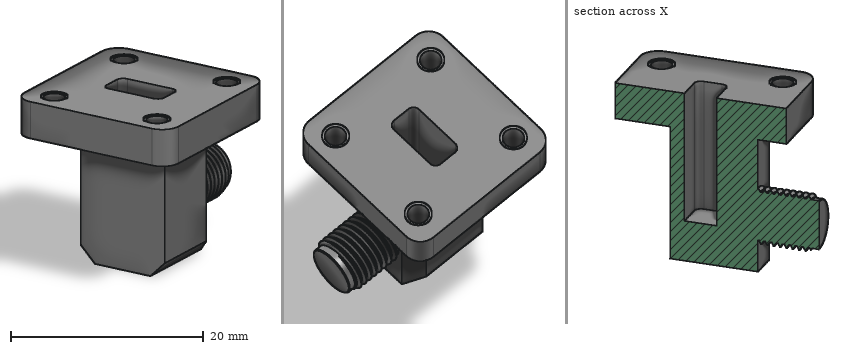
import cadquery as cq
import math


FLANGE_SIDE = 19.05
FLANGE_THICKNESS = 4.08
FLANGE_CORNER_RADIUS = 2.0

HOLE_SPACING_X = 12.7
HOLE_SPACING_Y = 13.46
HOLE_DIAMETER = 2.26
COUNTERBORE_DIAMETER = 2.85
COUNTERBORE_DEPTH = 0.13

TOTAL_HEIGHT = 19.05
BODY_WIDTH = 10.41
BODY_BACK_Y = 6.35
BODY_FRONT_Y = -3.43
BODY_CHAMFER = 1.78

WAVEGUIDE_WIDTH = 7.11
WAVEGUIDE_HEIGHT = 3.56
WAVEGUIDE_CORNER_RADIUS = 0.76

TOTAL_LENGTH_Y = 22.73
CONNECTOR_DEPTH = 12.7
CONNECTOR_END_Y = TOTAL_LENGTH_Y - FLANGE_SIDE / 2
CONNECTOR_LENGTH = CONNECTOR_END_Y - BODY_BACK_Y
WAVEGUIDE_DEPTH = CONNECTOR_DEPTH + WAVEGUIDE_HEIGHT / 2
NOSE_LENGTH = 0.77
NOSE_CHAMFER = 0.1

THREAD_PITCH = 25.4 / 36
ROOT_RADIUS = 5.58 / 2
CREST_RADIUS = 6.35 / 2
CREST_FLAT = THREAD_PITCH / 8
FLANK_ANGLE = 30.0
FIRST_CREST = 0.49
THREAD_RUN_IN = 0.9
BARREL_RUN_IN = 2.0
OVERLAP = 0.1


def make_flange():
    return (
        cq.Workplane("XY")
        .rect(FLANGE_SIDE, FLANGE_SIDE)
        .extrude(-FLANGE_THICKNESS)
        .edges("|Z")
        .fillet(FLANGE_CORNER_RADIUS)
    )


def make_body():
    """Block with chamfers on its two lower side edges and its two upright back edges."""
    block = cq.Workplane("XY").box(
        BODY_WIDTH,
        BODY_BACK_Y - BODY_FRONT_Y,
        TOTAL_HEIGHT,
        centered=(True, False, False),
    )
    block = block.edges("(|Y and <Z) or (|Z and >Y)").chamfer(BODY_CHAMFER)
    return block.translate((0, BODY_FRONT_Y, -TOTAL_HEIGHT))


def make_thread():
    """Thread ridge along local +Z, with its start trimmed by a 45 degree lead-in cone."""
    foot_radius = ROOT_RADIUS - OVERLAP
    crest_half = CREST_FLAT / 2
    foot_half = crest_half + (CREST_RADIUS - foot_radius) * math.tan(math.radians(FLANK_ANGLE))
    helix_height = CONNECTOR_LENGTH + THREAD_RUN_IN - FIRST_CREST

    helix = cq.Wire.makeHelix(THREAD_PITCH, helix_height, ROOT_RADIUS)
    ridge = (
        cq.Workplane("XZ")
        .polyline(
            [
                (foot_radius, -foot_half),
                (CREST_RADIUS, -crest_half),
                (CREST_RADIUS, crest_half),
                (foot_radius, foot_half),
            ]
        )
        .close()
        .sweep(cq.Workplane(obj=helix), isFrenet=True)
        .translate((0, 0, FIRST_CREST))
    )

    envelope_radius = CREST_RADIUS + OVERLAP
    envelope_end = FIRST_CREST + helix_height + THREAD_PITCH
    lead_in_end = NOSE_LENGTH + envelope_radius - ROOT_RADIUS
    envelope = (
        cq.Workplane("XZ")
        .polyline(
            [
                (0, NOSE_LENGTH),
                (ROOT_RADIUS, NOSE_LENGTH),
                (envelope_radius, lead_in_end),
                (envelope_radius, envelope_end),
                (0, envelope_end),
            ]
        )
        .close()
        .revolve(360, (0, 0, 0), (0, 1, 0))
    )
    return ridge.intersect(envelope)


def make_connector():
    """Threaded barrel placed with its free end at +Y and its foot inside the body."""
    barrel = (
        cq.Workplane("XY")
        .circle(ROOT_RADIUS)
        .extrude(CONNECTOR_LENGTH + BARREL_RUN_IN)
        .faces("<Z")
        .chamfer(NOSE_CHAMFER)
    )
    end_plane = cq.Plane(
        origin=(0, CONNECTOR_END_Y, -CONNECTOR_DEPTH),
        xDir=(0, 0, 1),
        normal=(0, -1, 0),
    )
    connector = barrel.union(make_thread())
    return cq.Workplane(connector.val().moved(cq.Location(end_plane)))


def cut_screw_holes(part):
    return (
        part.faces(">Z")
        .workplane(origin=(0, 0, 0))
        .rarray(HOLE_SPACING_X, HOLE_SPACING_Y, 2, 2)
        .cboreHole(HOLE_DIAMETER, COUNTERBORE_DIAMETER, COUNTERBORE_DEPTH, FLANGE_THICKNESS)
    )


def cut_waveguide(part):
    """Blind rounded opening reaching past the connector axis by half its own height."""
    opening = (
        cq.Workplane("XY")
        .rect(WAVEGUIDE_WIDTH, WAVEGUIDE_HEIGHT)
        .extrude(-WAVEGUIDE_DEPTH)
        .edges("|Z")
        .fillet(WAVEGUIDE_CORNER_RADIUS)
    )
    return part.cut(opening)


adapter = make_flange().union(make_body()).union(make_connector())
adapter = cut_screw_holes(adapter)
result = cut_waveguide(adapter)